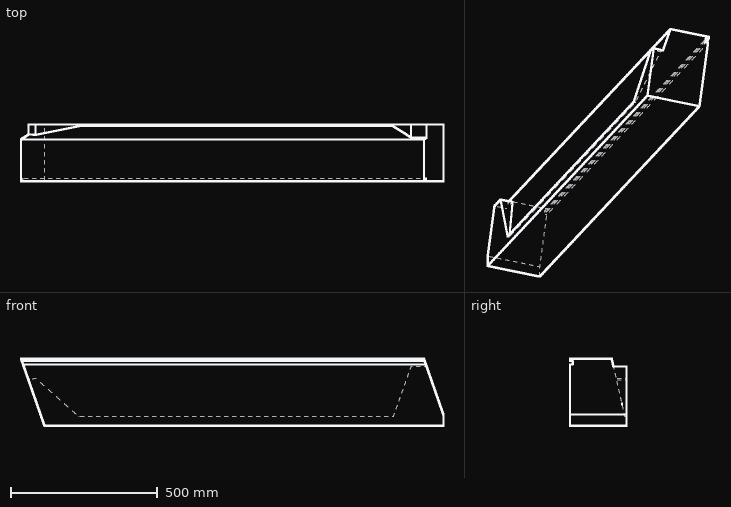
import cadquery as cq

LENGTH = 1438.08
DEPTH = 193.68
HEIGHT = 228.6

TOP_LENGTH = 1371.6
RIGHT_FOOT_HEIGHT = 38.1
END_LEAN = (LENGTH - TOP_LENGTH) / (HEIGHT - RIGHT_FOOT_HEIGHT)

TOP_DEPTH = 142.9
LEDGE_WIDTH = 6.35
LEDGE_Z = 31.75
GROOVE_DEPTH = 9.525
LIP_THICKNESS = 7.94
GROOVE_WIDTH = 11.5
GROOVE_TOP = HEIGHT - LIP_THICKNESS
GROOVE_BOTTOM = GROOVE_TOP - GROOVE_WIDTH

LEFT_LUG_EDGE_Z = 155.5
LEFT_LUG_PEAK_X = 50.0
LEFT_LUG_PEAK_Z = 162.0
LEFT_LUG_FOOT_X = 197.0

RIGHT_LUG_TOP_Z = 203.0
RIGHT_LUG_TOP_X = 1328.0
RIGHT_LUG_FOOT_X = 1267.0


def left_end_x(z):
    """X of the left end face at height z."""
    return (HEIGHT - z) * END_LEAN


def right_end_x(z):
    """X of the raked part of the right end face at height z."""
    return TOP_LENGTH + (HEIGHT - z) * END_LEAN


def extrude_along_depth(outline):
    """Solid through the full depth from an X-Z outline."""
    return cq.Workplane("XZ").polyline(outline).close().extrude(-DEPTH)


def raked_envelope():
    """Block with the end faces of the finished part."""
    return extrude_along_depth([
        (left_end_x(0), 0),
        (LENGTH, 0),
        (LENGTH, RIGHT_FOOT_HEIGHT),
        (TOP_LENGTH, HEIGHT),
        (0, HEIGHT),
    ])


def beam():
    """Full-length bar: sloping back face above a narrow ledge, groove in the front face."""
    section = [
        (0, 0),
        (DEPTH, 0),
        (DEPTH, LEDGE_Z),
        (DEPTH - LEDGE_WIDTH, LEDGE_Z),
        (TOP_DEPTH, HEIGHT),
        (0, HEIGHT),
        (0, GROOVE_TOP),
        (GROOVE_DEPTH, GROOVE_TOP),
        (GROOVE_DEPTH, GROOVE_BOTTOM),
        (0, GROOVE_BOTTOM),
    ]
    return cq.Workplane("YZ").polyline(section).close().extrude(LENGTH)


def back_lug(outline):
    """Lug from an X-Z outline, kept behind the flat top of the bar."""
    front = cq.Workplane("XY").box(LENGTH, TOP_DEPTH, HEIGHT, centered=False)
    return extrude_along_depth(outline).cut(front)


left_lug = back_lug([
    (left_end_x(0), 0),
    (left_end_x(LEFT_LUG_EDGE_Z), LEFT_LUG_EDGE_Z),
    (LEFT_LUG_PEAK_X, LEFT_LUG_PEAK_Z),
    (LEFT_LUG_FOOT_X, LEDGE_Z),
    (LEFT_LUG_FOOT_X, 0),
])

right_lug = back_lug([
    (RIGHT_LUG_FOOT_X, 0),
    (RIGHT_LUG_FOOT_X, LEDGE_Z),
    (RIGHT_LUG_TOP_X, RIGHT_LUG_TOP_Z),
    (right_end_x(RIGHT_LUG_TOP_Z), RIGHT_LUG_TOP_Z),
    (LENGTH, RIGHT_LUG_TOP_Z),
    (LENGTH, 0),
])

result = beam().union(left_lug).union(right_lug).intersect(raked_envelope())